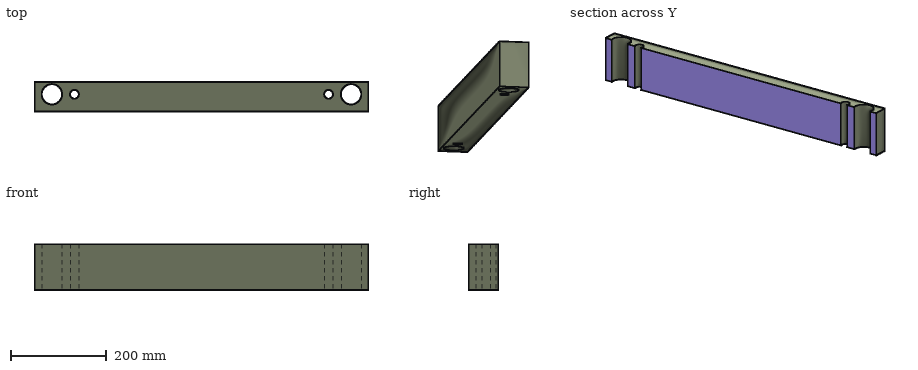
import cadquery as cq

LENGTH = 696.0
WIDTH = 62.0
HEIGHT = 96.0

LARGE_HOLE_DIAMETER = 42.0
LARGE_HOLE_SPACING = 624.0
SMALL_HOLE_DIAMETER = 18.0
SMALL_HOLE_SPACING = 530.0

HOLE_LINE_FROM_BACK = 26.0
HOLE_LINE_Y = WIDTH / 2 - HOLE_LINE_FROM_BACK


def make_bar():
    return cq.Workplane("XY").box(LENGTH, WIDTH, HEIGHT, centered=(True, True, False))


def drill_hole_pair(body, diameter, spacing):
    """Drill two through holes, symmetric in X, on the hole line."""
    centres = [(-spacing / 2, HOLE_LINE_Y), (spacing / 2, HOLE_LINE_Y)]
    drills = cq.Workplane("XY").pushPoints(centres).circle(diameter / 2).extrude(HEIGHT)
    return body.cut(drills)


result = make_bar()
result = drill_hole_pair(result, LARGE_HOLE_DIAMETER, LARGE_HOLE_SPACING)
result = drill_hole_pair(result, SMALL_HOLE_DIAMETER, SMALL_HOLE_SPACING)